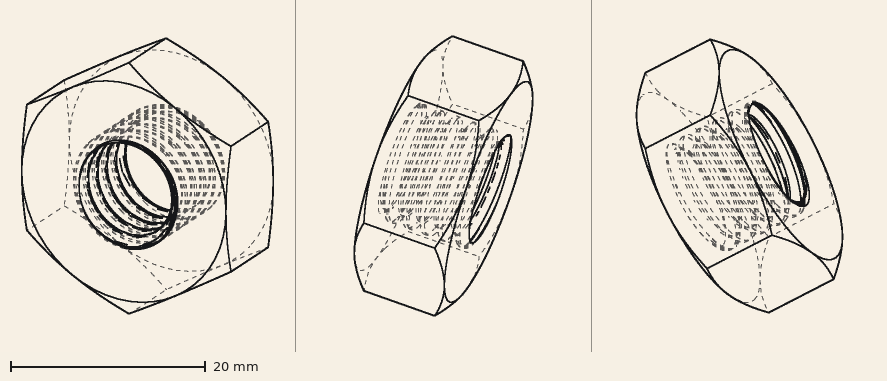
import cadquery as cq
import math

across_corners = 27.7
across_flats = across_corners * math.cos(math.radians(30))
thickness = 10.0
chamfer_angle = 30.0

pitch = 1.97
crest_radius = 5.25
root_radius = 6.3
root_flat = pitch / 4
flank_angle = 30.0
groove_angle = -22.0
flank_steps = 8
overrun = 0.55


def hexagon_body():
    """Hexagonal prism centred on the origin, chamfered by a cone at both ends."""
    prism = (
        cq.Workplane("XY")
        .polygon(6, across_corners)
        .extrude(thickness / 2, both=True)
        .rotate((0, 0, 0), (0, 0, 1), 90)
    )
    face_radius = across_flats / 2
    corner_radius = across_corners / 2
    chamfer_height = (corner_radius - face_radius) * math.tan(math.radians(chamfer_angle))
    outer_radius = 2 * corner_radius - face_radius
    half = thickness / 2
    envelope = (
        cq.Workplane("XZ")
        .moveTo(0, -half)
        .lineTo(face_radius, -half)
        .lineTo(outer_radius, -half + 2 * chamfer_height)
        .lineTo(outer_radius, half - 2 * chamfer_height)
        .lineTo(face_radius, half)
        .lineTo(0, half)
        .close()
        .revolve(360, (0, 0, 0), (0, 1, 0))
    )
    return prism.intersect(envelope)


def polar_point(radius, angle):
    """Point in the plane across the nut axis, angle in degrees."""
    return (radius * math.cos(math.radians(angle)), radius * math.sin(math.radians(angle)))


def threaded_hole_outline():
    """Cross-section of the threaded hole: root arc, crest arc and two flank spirals.

    A cut across the thread spreads one pitch of its profile over a full turn, so
    the straight flanks become spirals and the flats become arcs. The root arc is
    centred on the +X direction and the crest arc is opposite.
    """
    degrees_per_length = 360 / pitch
    flank_width = (root_radius - crest_radius) * math.tan(math.radians(flank_angle))
    root_end = root_flat / 2 * degrees_per_length
    flank_span = flank_width * degrees_per_length
    crest_start = root_end + flank_span

    def flank_point(fraction, side):
        radius = root_radius + fraction * (crest_radius - root_radius)
        return polar_point(radius, side * (root_end + fraction * flank_span))

    fractions = [step / flank_steps for step in range(1, flank_steps + 1)]
    upper_flank = [flank_point(fraction, 1) for fraction in fractions]
    lower_flank = [flank_point(1 - fraction, -1) for fraction in fractions]
    return (
        cq.Workplane("XY")
        .moveTo(*polar_point(root_radius, -root_end))
        .threePointArc((root_radius, 0), polar_point(root_radius, root_end))
        .spline(upper_flank, includeCurrent=True)
        .threePointArc((-crest_radius, 0), polar_point(crest_radius, -crest_start))
        .spline(lower_flank, includeCurrent=True)
        .close()
    )


def threaded_hole():
    """Twisted prism that cuts the whole threaded hole, running past both faces."""
    length = thickness + 2 * overrun
    turn = 360 * length / pitch
    front_turn = 360 * (thickness + overrun) / pitch
    hole = threaded_hole_outline().twistExtrude(length, turn)
    return (
        hole.translate((0, 0, -length / 2))
        .rotate((0, 0, 0), (0, 0, 1), groove_angle - front_turn)
    )


nut = hexagon_body().cut(threaded_hole())

result = nut.rotate((0, 0, 0), (1, 0, 0), 90)